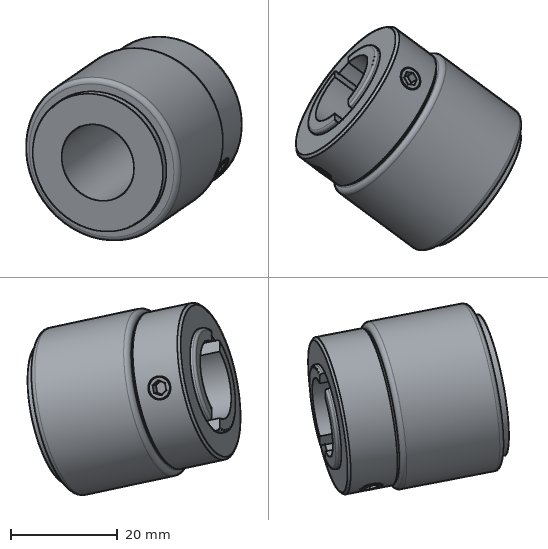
import cadquery as cq
import math


BORE_RADIUS = 7.5
HUB_RADIUS = 13.5
NOSE_RADIUS = 10.0
NOSE_EDGE_FILLET = 0.5
SLOT_WIDTH = 4.0
HUB_FRONT_STICK_OUT = 1.5
NOSE_REAR_STICK_OUT = 1.0

SLEEVE_RADIUS = 16.0
SLEEVE_LENGTH = 20.0
SLEEVE_EDGE_FILLET = 1.0

COLLAR_RADIUS = 15.0
COLLAR_LENGTH = 10.0
COLLAR_EDGE_CHAMFER = 0.5

SCREW_DIAMETER = 4.4
SCREW_EDGE_CHAMFER = 0.15
SCREW_RECESS = 0.1
SCREW_ANGLES = (210, 330)
HEX_ACROSS_FLATS = 2.5
HEX_HALF_ANGLE = 30
HEX_DEPTH = 1.9

SLEEVE_FRONT = HUB_FRONT_STICK_OUT
COLLAR_FRONT = SLEEVE_FRONT + SLEEVE_LENGTH
COLLAR_REAR = COLLAR_FRONT + COLLAR_LENGTH
HUB_REAR = COLLAR_REAR + NOSE_REAR_STICK_OUT
SCREW_Y = COLLAR_FRONT + COLLAR_LENGTH / 2


def cylinder(radius, front, rear):
    """Solid cylinder on the Y axis between two Y positions."""
    return cq.Workplane("XZ", origin=(0, front, 0)).circle(radius).extrude(front - rear)


def make_hub():
    body = cylinder(HUB_RADIUS, 0, COLLAR_FRONT)
    nose = cylinder(NOSE_RADIUS, COLLAR_FRONT, HUB_REAR).faces(">Y").edges().fillet(NOSE_EDGE_FILLET)
    bore = cylinder(BORE_RADIUS, 0, HUB_REAR)
    nose_length = HUB_REAR - COLLAR_FRONT
    slot = cq.Workplane("XY").box(SLOT_WIDTH, nose_length, 2 * NOSE_RADIUS)
    slot = slot.translate((0, COLLAR_FRONT + nose_length / 2, 0))
    return body.union(nose.cut(slot)).cut(bore)


def make_sleeve():
    tube = cylinder(SLEEVE_RADIUS, SLEEVE_FRONT, COLLAR_FRONT)
    tube = tube.faces("<Y or >Y").edges().fillet(SLEEVE_EDGE_FILLET)
    return tube.cut(cylinder(HUB_RADIUS, SLEEVE_FRONT, COLLAR_FRONT))


def radial_plane(angle, radius):
    """Plane at mid collar, facing outward, with its X direction along Y."""
    outward = (math.cos(math.radians(angle)), 0, math.sin(math.radians(angle)))
    origin = (radius * outward[0], SCREW_Y, radius * outward[2])
    return cq.Plane(origin=origin, xDir=(0, 1, 0), normal=outward)


def make_collar():
    ring = cylinder(COLLAR_RADIUS, COLLAR_FRONT, COLLAR_REAR)
    ring = ring.faces("<Y or >Y").edges().chamfer(COLLAR_EDGE_CHAMFER)
    ring = ring.cut(cylinder(NOSE_RADIUS, COLLAR_FRONT, COLLAR_REAR))
    for angle in SCREW_ANGLES:
        axis_plane = cq.Workplane(radial_plane(angle, 0))
        ring = ring.cut(axis_plane.circle(SCREW_DIAMETER / 2).extrude(COLLAR_RADIUS))
    return ring


def make_screw(angle):
    screw_length = COLLAR_RADIUS - SCREW_RECESS - NOSE_RADIUS
    tip_plane = cq.Workplane(radial_plane(angle, NOSE_RADIUS))
    screw = tip_plane.circle(SCREW_DIAMETER / 2).extrude(screw_length)
    screw = screw.edges().chamfer(SCREW_EDGE_CHAMFER)
    hex_corner_diameter = HEX_ACROSS_FLATS / math.cos(math.radians(HEX_HALF_ANGLE))
    head_plane = cq.Workplane(radial_plane(angle, NOSE_RADIUS + screw_length))
    socket = head_plane.transformed(rotate=(0, 0, HEX_HALF_ANGLE))
    socket = socket.polygon(6, hex_corner_diameter).extrude(-HEX_DEPTH)
    return screw.cut(socket)


hub = make_hub()
sleeve = make_sleeve()
collar = make_collar()
screws = [make_screw(angle).val() for angle in SCREW_ANGLES]

result = cq.Compound.makeCompound([hub.val(), sleeve.val(), collar.val(), *screws])